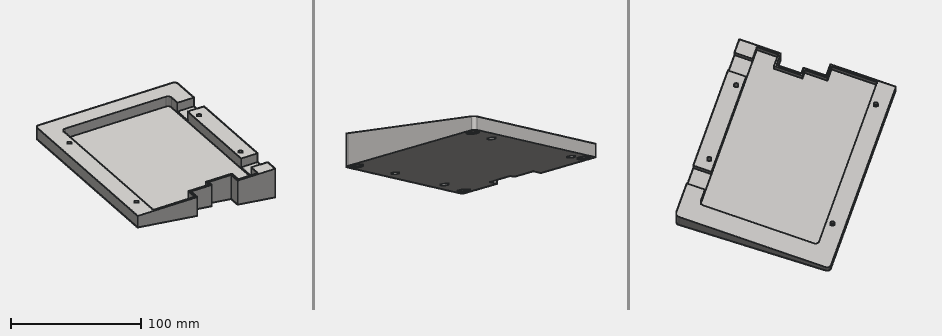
import cadquery as cq
import math

length = 153.0
width = 126.3
back_height = 26.0
front_height = 10.5
corner_radius = 3.0
slope = math.atan((back_height - front_height) / width)

upper_right = 148.5
notch_inner = 138.8
notch_outer = 143.5
lower_step_y = 53.5
middle_step_y = 72.2
upper_step_y = 92.5

border = 14.8
thin_wall = 1.5
pocket_depth = 9.0
pocket_radius = 3.0
slot_depth = 8.0
slot_width = 15.0
slot_starts = (27.1, 122.1)

screw_diameter = 3.4
head_diameter = 6.5
head_depth = 3.0
screw_points = ((34.5, 10.0), (134.7, 10.0), (51.1, 116.3), (113.3, 116.3))
foot_diameter = 10.0
foot_depth = 1.0
foot_inset = 6.7


def stepped_outline(inset, left, front, back):
    """Closed outline whose stepped right edge is moved inward by inset."""
    return [
        (left, front),
        (length - inset, front),
        (length - inset, lower_step_y - inset),
        (notch_outer - inset, lower_step_y - inset),
        (notch_outer - inset, middle_step_y - inset),
        (notch_inner - inset, middle_step_y - inset),
        (notch_inner - inset, upper_step_y + inset),
        (upper_right - inset, upper_step_y + inset),
        (upper_right - inset, back),
        (left, back),
    ]


def wedge_body():
    """Stepped block with rounded left corners, cut to the sloping underside."""
    block = (
        cq.Workplane("XY")
        .polyline(stepped_outline(0, 0, 0, width))
        .close()
        .extrude(-back_height)
        .edges("|Z and <X")
        .fillet(corner_radius)
    )
    profile = [(0, 0), (width, 0), (width, -back_height), (0, -front_height)]
    wedge = cq.Workplane("YZ").polyline(profile).close().extrude(length)
    return block.intersect(wedge)


def tray_pocket():
    outline = stepped_outline(thin_wall, border, border, width - border)
    pocket = cq.Workplane("XY").polyline(outline).close().extrude(-pocket_depth)
    return pocket.edges("|Z and <X").fillet(pocket_radius)


def cable_slot(start):
    corner = (start, width - border, -slot_depth)
    return cq.Workplane("XY").box(slot_width, border, slot_depth, centered=False).translate(corner)


def underside_recess(x, y, diameter, depth):
    """Round recess square to the sloping underside, centred below (x, y)."""
    surface = cq.Vector(x, y, -front_height - y * math.tan(slope))
    inward = cq.Vector(0, math.sin(slope), math.cos(slope))
    return cq.Workplane(cq.Solid.makeCylinder(diameter / 2, depth, surface, inward))


result = wedge_body().cut(tray_pocket())

for slot_start in slot_starts:
    result = result.cut(cable_slot(slot_start))

screw_holes = cq.Workplane("XY").pushPoints(screw_points).circle(screw_diameter / 2).extrude(-back_height)
result = result.cut(screw_holes)

for screw_x, screw_y in screw_points:
    result = result.cut(underside_recess(screw_x, screw_y, head_diameter, head_depth))

foot_points = (
    (foot_inset, foot_inset),
    (length - foot_inset, foot_inset),
    (foot_inset, width - foot_inset),
    (upper_right - foot_inset, width - foot_inset),
)
for foot_x, foot_y in foot_points:
    result = result.cut(underside_recess(foot_x, foot_y, foot_diameter, foot_depth))